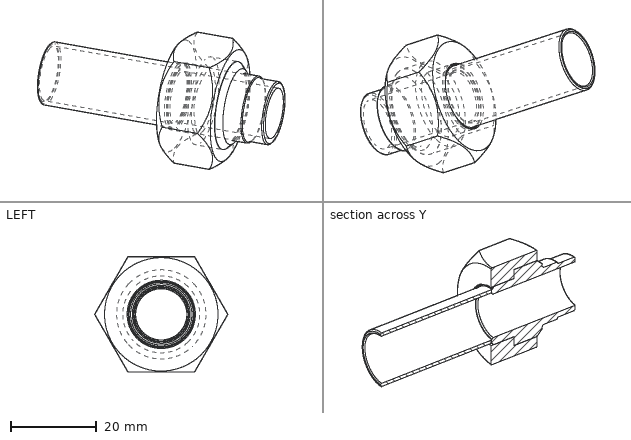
import cadquery as cq
import math

TOTAL_LENGTH = 56.5
NUT_START = 32.05
NUT_LENGTH = 13.45
NUT_END = NUT_START + NUT_LENGTH

ACROSS_FLATS = 27.0
ACROSS_CORNERS = ACROSS_FLATS / math.cos(math.pi / 6)
NUT_FACE_RADIUS = 26.55 / 2
NUT_CORNER_BEVEL = ACROSS_CORNERS / 2 - NUT_FACE_RADIUS
SHOULDER_X = NUT_START + NUT_LENGTH / 2

TUBE_RADIUS = 15.05 / 2
TUBE_BORE_RADIUS = 13.0 / 2
OUTER_END_CHAMFER = 0.35
INNER_END_CHAMFER = 0.3

FLANGE_RADIUS = 20.9 / 2
FLANGE_TIP_RADIUS = 18.0 / 2
FLANGE_END = 47.0
FLANGE_BEVEL = FLANGE_RADIUS - FLANGE_TIP_RADIUS
COLLAR_RADIUS = 16.0 / 2
COLLAR_EDGE_RADIUS = 15.5 / 2
COLLAR_CHAMFER = COLLAR_RADIUS - COLLAR_EDGE_RADIUS
COLLAR_END = 51.4
COLLAR_RECESS = 0.5
COLLAR_START = NUT_START + COLLAR_RECESS
ROOT_FILLET = 0.5
EDGE_FILLET = COLLAR_EDGE_RADIUS - TUBE_RADIUS
SLEEVE_START = COLLAR_START - EDGE_FILLET
SLEEVE_BORE_RADIUS = 12.0 / 2
BORE_LEAD_IN = 0.35


def concave_middle(x_center, radius_center, fillet, x_side):
    """Middle point of a quarter arc lying on the axis side of its center."""
    offset = fillet * math.sqrt(0.5)
    return x_center + x_side * offset, radius_center - offset


def revolve_about_x(profile):
    return profile.close().revolve(360, (0, 0, 0), (1, 0, 0))


def make_nut():
    hexagon = (
        cq.Workplane("YZ", origin=(NUT_START, 0, 0))
        .polygon(6, ACROSS_CORNERS)
        .extrude(NUT_LENGTH)
    )
    bevel_envelope = (
        cq.Workplane("YZ", origin=(NUT_START, 0, 0))
        .circle(ACROSS_CORNERS / 2)
        .extrude(NUT_LENGTH)
        .edges()
        .chamfer(NUT_CORNER_BEVEL)
    )
    bore = revolve_about_x(
        cq.Workplane("XY")
        .moveTo(NUT_START, 0)
        .lineTo(NUT_START, COLLAR_RADIUS)
        .lineTo(SHOULDER_X, COLLAR_RADIUS)
        .lineTo(SHOULDER_X, FLANGE_RADIUS)
        .lineTo(NUT_END, FLANGE_RADIUS)
        .lineTo(NUT_END, 0)
    )
    return hexagon.intersect(bevel_envelope).cut(bore)


def make_tube():
    return revolve_about_x(
        cq.Workplane("XY")
        .moveTo(0, TUBE_BORE_RADIUS + INNER_END_CHAMFER)
        .lineTo(0, TUBE_RADIUS - OUTER_END_CHAMFER)
        .lineTo(OUTER_END_CHAMFER, TUBE_RADIUS)
        .lineTo(SLEEVE_START, TUBE_RADIUS)
        .lineTo(SLEEVE_START, TUBE_BORE_RADIUS)
        .lineTo(INNER_END_CHAMFER, TUBE_BORE_RADIUS)
    )


def make_sleeve():
    front_fillet = concave_middle(SLEEVE_START, COLLAR_EDGE_RADIUS, EDGE_FILLET, 1)
    root_center_x = FLANGE_END + ROOT_FILLET
    root_center_radius = COLLAR_RADIUS + ROOT_FILLET
    root_fillet = concave_middle(root_center_x, root_center_radius, ROOT_FILLET, -1)
    spigot_start = COLLAR_END + EDGE_FILLET
    rear_fillet = concave_middle(spigot_start, COLLAR_EDGE_RADIUS, EDGE_FILLET, -1)
    return revolve_about_x(
        cq.Workplane("XY")
        .moveTo(SLEEVE_START, SLEEVE_BORE_RADIUS + BORE_LEAD_IN)
        .lineTo(SLEEVE_START, TUBE_RADIUS)
        .threePointArc(front_fillet, (COLLAR_START, COLLAR_EDGE_RADIUS))
        .lineTo(COLLAR_START + COLLAR_CHAMFER, COLLAR_RADIUS)
        .lineTo(SHOULDER_X, COLLAR_RADIUS)
        .lineTo(SHOULDER_X, FLANGE_RADIUS)
        .lineTo(FLANGE_END - FLANGE_BEVEL, FLANGE_RADIUS)
        .lineTo(FLANGE_END, FLANGE_TIP_RADIUS)
        .lineTo(FLANGE_END, root_center_radius)
        .threePointArc(root_fillet, (root_center_x, COLLAR_RADIUS))
        .lineTo(COLLAR_END - COLLAR_CHAMFER, COLLAR_RADIUS)
        .lineTo(COLLAR_END, COLLAR_EDGE_RADIUS)
        .threePointArc(rear_fillet, (spigot_start, TUBE_RADIUS))
        .lineTo(TOTAL_LENGTH - OUTER_END_CHAMFER, TUBE_RADIUS)
        .lineTo(TOTAL_LENGTH, TUBE_RADIUS - OUTER_END_CHAMFER)
        .lineTo(TOTAL_LENGTH, SLEEVE_BORE_RADIUS)
        .lineTo(SLEEVE_START + BORE_LEAD_IN, SLEEVE_BORE_RADIUS)
    )


nut = make_nut()
tube = make_tube()
sleeve = make_sleeve()

result = cq.Compound.makeCompound([nut.val(), tube.val(), sleeve.val()])